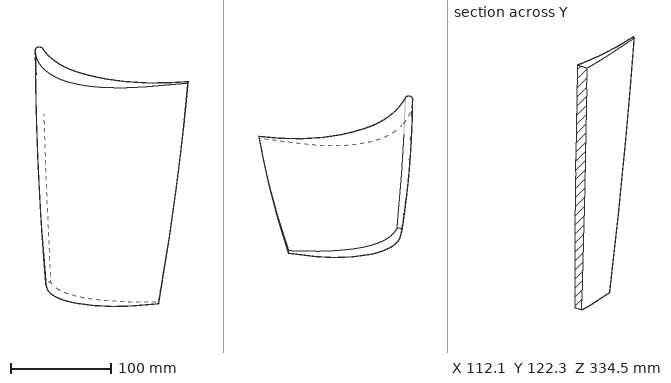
import cadquery as cq

BLADE_HEIGHT = 334.5
MID_HEIGHT = BLADE_HEIGHT / 2

ROOT_NOSE = (19.0, 11.5)
ROOT_CONCAVE = [(21.5, 13.7), (31.5, 15.7), (47.5, 26.5), (63.0, 44.0), (82.0, 74.5), (93.5, 97.3)]
ROOT_CONVEX = [(22.7, 8.0), (32.0, 6.5), (46.0, 12.7), (64.0, 31.0), (81.2, 59.5), (96.3, 96.3)]

MID_NOSE = (9.7, 9.5)
MID_CONCAVE = [(12.7, 12.5), (24.7, 14.0), (43.5, 24.5), (59.5, 40.0), (84.5, 78.0), (102.5, 112.5)]
MID_CONVEX = [(12.7, 4.0), (26.7, 0.7), (45.8, 8.5), (68.2, 32.0), (87.5, 65.2), (104.5, 111.0)]

TIP_NOSE = (0.0, 10.5)
TIP_CONCAVE = [(3.7, 13.7), (18.0, 15.0), (39.0, 23.7), (55.0, 36.5), (84.5, 71.5), (110.3, 122.5)]
TIP_CONVEX = [(4.0, 5.7), (23.5, 1.5), (45.0, 8.0), (68.5, 29.5), (88.5, 62.2), (112.0, 120.7)]


def section_wire(height, nose, concave_side, convex_side):
    """Closed airfoil outline with a round nose and a thin flat trailing edge."""
    return (
        cq.Workplane("XY", origin=(0, 0, height))
        .moveTo(*concave_side[0])
        .spline(concave_side[1:], includeCurrent=True)
        .lineTo(*convex_side[-1])
        .spline(convex_side[-2::-1], includeCurrent=True)
        .threePointArc(nose, concave_side[0])
        .close()
        .val()
    )


section_wires = [
    section_wire(0, ROOT_NOSE, ROOT_CONCAVE, ROOT_CONVEX),
    section_wire(MID_HEIGHT, MID_NOSE, MID_CONCAVE, MID_CONVEX),
    section_wire(BLADE_HEIGHT, TIP_NOSE, TIP_CONCAVE, TIP_CONVEX),
]
result = cq.Workplane(obj=cq.Solid.makeLoft(section_wires))